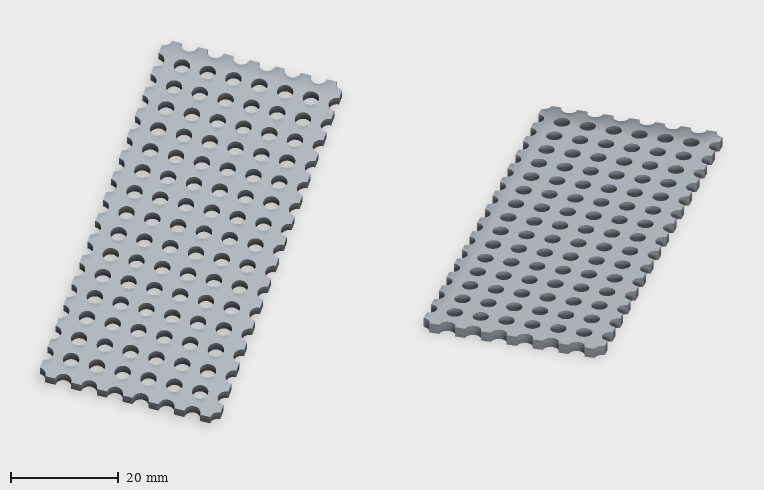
import cadquery as cq

plate_length = 80.0
plate_thickness = 2.0
cells_across = 7
cells_along = 16
hole_diameter = 3.0

pitch = plate_length / cells_along
plate_width = cells_across * pitch


def make_plate():
    """Plain rectangular plate, centred in X and Y and resting on Z = 0."""
    return cq.Workplane("XY").rect(plate_width, plate_length).extrude(plate_thickness)


def make_hole_cutters():
    """Round cutters on every grid node, including the nodes on the edges and corners."""
    nodes_across = cells_across + 1
    nodes_along = cells_along + 1
    return (
        cq.Workplane("XY")
        .rarray(pitch, pitch, nodes_across, nodes_along)
        .circle(hole_diameter / 2)
        .extrude(plate_thickness)
    )


result = make_plate().cut(make_hole_cutters())